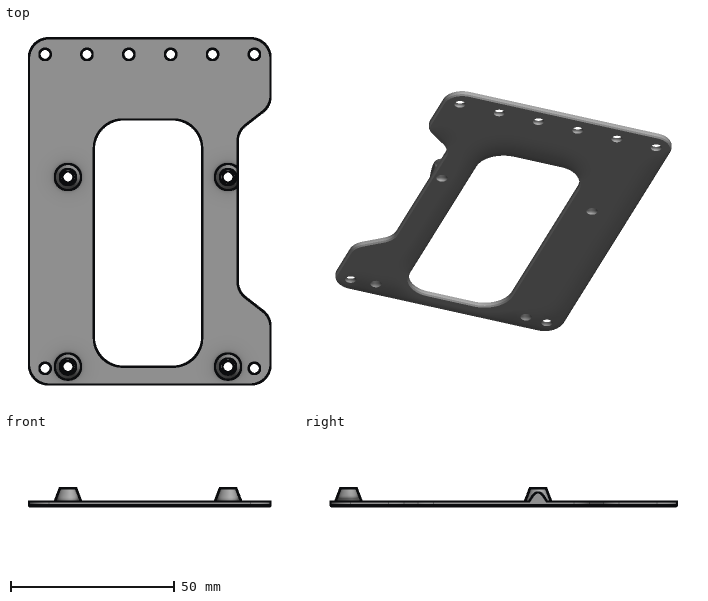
import cadquery as cq

plate_width = 74.0
plate_length = 106.0
plate_thickness = 1.6
corner_radius = 6.1
bottom_chamfer = 0.4

notch_depth = 10.1
notch_mouth_length = 64.7
notch_floor_length = 49.0
notch_radius = 6.0

window_width = 33.1
window_length = 75.6
window_left = 19.9
window_bottom = 5.5
window_radius = 8.9

hole_diameter = 3.4
hole_inset = 5.0
top_hole_count = 6

total_height = 5.6
standoff_height = total_height - plate_thickness
standoff_base_diameter = 8.1
standoff_top_diameter = 5.0
standoff_left = 12.0
standoff_bottom = 5.5
standoff_spacing_x = 49.0
standoff_spacing_y = 58.0


def plate_outline(height):
    """Prism of the notched, rounded plate outline, standing on Z = 0."""
    middle = plate_length / 2
    mouth_half = notch_mouth_length / 2
    floor_half = notch_floor_length / 2
    notch_floor_x = plate_width - notch_depth
    notch_points = [
        (plate_width, middle - mouth_half),
        (notch_floor_x, middle - floor_half),
        (notch_floor_x, middle + floor_half),
        (plate_width, middle + mouth_half),
    ]
    body = cq.Workplane("XY").rect(plate_width, plate_length, centered=False).extrude(height)
    body = body.edges("|Z").fillet(corner_radius)
    body = body.cut(cq.Workplane("XY").polyline(notch_points).close().extrude(height))
    for x, y in notch_points:
        corner = cq.selectors.NearestToPointSelector((x, y, height / 2))
        body = body.edges(corner).fillet(notch_radius)
    return body


def window():
    """Rounded rectangular opening through the plate."""
    opening = (
        cq.Workplane("XY")
        .rect(window_width, window_length, centered=False)
        .extrude(plate_thickness)
        .edges("|Z")
        .fillet(window_radius)
    )
    return opening.translate((window_left, window_bottom, 0))


def standoff(x, y):
    """Cone frustum standing on the plate."""
    cone = cq.Solid.makeCone(
        standoff_base_diameter / 2,
        standoff_top_diameter / 2,
        standoff_height,
        pnt=cq.Vector(x, y, plate_thickness),
    )
    return cq.Workplane(obj=cone)


hole_pitch = (plate_width - 2 * hole_inset) / (top_hole_count - 1)
top_holes = [(hole_inset + i * hole_pitch, plate_length - hole_inset) for i in range(top_hole_count)]
bottom_holes = [(x, hole_inset) for x in (hole_inset, plate_width - hole_inset)]
standoff_centers = [
    (standoff_left + column * standoff_spacing_x, standoff_bottom + row * standoff_spacing_y)
    for column in range(2)
    for row in range(2)
]

result = plate_outline(plate_thickness).cut(window())
result = result.faces("<Z").chamfer(bottom_chamfer)

outline_limit = plate_outline(total_height)
for center_x, center_y in standoff_centers:
    result = result.union(standoff(center_x, center_y).intersect(outline_limit))

bores = (
    cq.Workplane("XY")
    .pushPoints(top_holes + bottom_holes + standoff_centers)
    .circle(hole_diameter / 2)
    .extrude(total_height)
)
result = result.cut(bores)